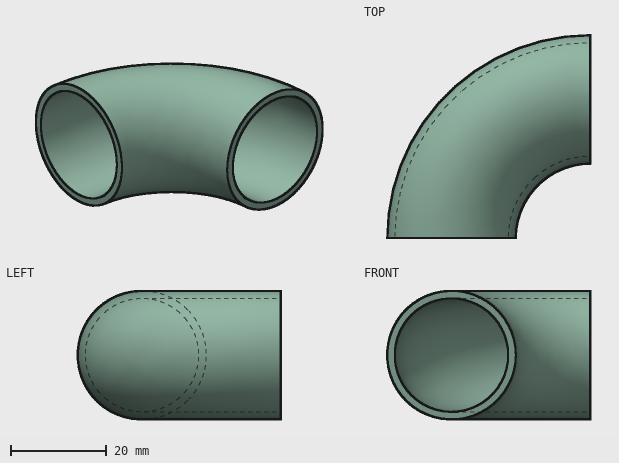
import cadquery as cq

outer_diameter = 26.9
wall_thickness = 1.6
bend_radius = 29.0
bend_angle = 90.0

inner_diameter = outer_diameter - 2 * wall_thickness


def elbow():
    """Sweep the pipe ring from the -Y opening round to the +X opening."""
    ring = (
        cq.Workplane("XZ")
        .circle(outer_diameter / 2)
        .circle(inner_diameter / 2)
    )
    axis_start = (bend_radius, 0, 0)
    axis_end = (bend_radius, -1, 0)
    return ring.revolve(bend_angle, axis_start, axis_end)


result = elbow()